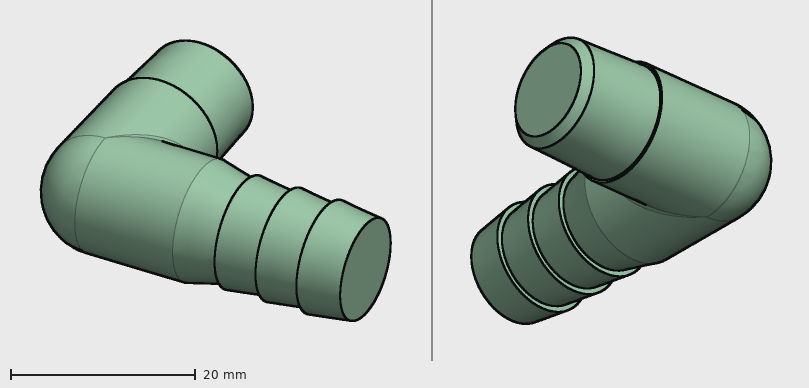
import cadquery as cq

body_diameter = 14.0
body_radius = body_diameter / 2
overall_x = 39
overall_y = 30.0
barb_end = overall_x - body_radius
thread_end = overall_y - body_radius
inner_corner_fillet = 1.0

barb_count = 3
barb_pitch = 5.05
barb_crest_radius = 6.47
barb_root_radius = 5.8
barb_start = barb_end - barb_count * barb_pitch
neck_length = 4.88

thread_start = 12.68
thread_base_radius = 6.7
thread_tip_radius = 6.4
thread_chamfer = 1.0


def hose_branch():
    """Body cylinder, conical neck and sawtooth barbs, revolved about X."""
    profile = (
        cq.Workplane("XY")
        .lineTo(0, body_radius)
        .lineTo(barb_start - neck_length, body_radius)
        .lineTo(barb_start, barb_root_radius)
    )
    for index in range(barb_count):
        start = barb_start + index * barb_pitch
        profile = profile.lineTo(start, barb_crest_radius)
        profile = profile.lineTo(start + barb_pitch, barb_root_radius)
    return profile.lineTo(barb_end, 0).close().revolve(360, (0, 0), (1, 0))


def pipe_end():
    """Tapered, chamfered end of the pipe branch, revolved about Y."""
    return (
        cq.Workplane("XY")
        .moveTo(0, thread_start)
        .lineTo(thread_base_radius, thread_start)
        .lineTo(thread_tip_radius, thread_end - thread_chamfer)
        .lineTo(thread_tip_radius - thread_chamfer, thread_end)
        .lineTo(0, thread_end)
        .close()
        .revolve(360, (0, 0), (0, 1))
    )


def pipe_body():
    """Body cylinder of the pipe branch."""
    return cq.Workplane("XZ").circle(body_radius).extrude(-thread_start)


elbow = cq.Workplane("XY").sphere(body_radius).union(pipe_body()).union(hose_branch())

inner_crease = cq.selectors.BoxSelector(
    (0.05, 0.05, -body_radius),
    (body_radius, body_radius, body_radius),
)
elbow = elbow.edges(inner_crease).fillet(inner_corner_fillet)

result = elbow.union(pipe_end())